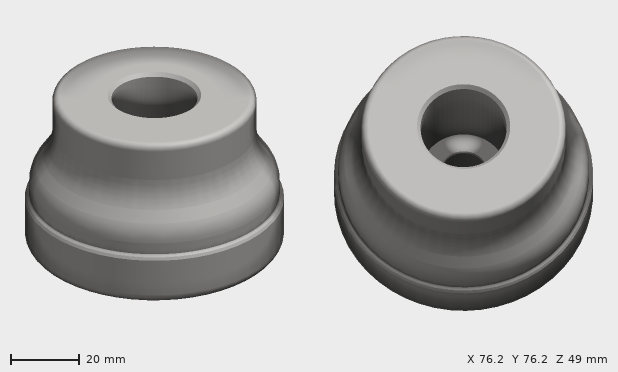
import cadquery as cq
import math

total_height = 49.0
seam_height = 16.15

base_radius = 38.1
base_bottom_fillet = 3.0
base_wall_top = 14.6
base_bevel_top = 15.5
base_bevel_radius = 37.65
base_crown_radius = 37.4
base_crown_height = 15.7
bolt_hole_radius = 6.8
bolt_hole_chamfer = 0.4

shoulder_radius = 36.9
shoulder_top = 19.7
neck_radius = 30.0
neck_bottom = 37.4
neck_top_fillet = 2.0
concave_radius = 15.0
convex_radius = 10.0
slope_angle = math.radians(35)
bore_radius = 12.65
bore_chamfer = 1.1


def arc_point(center, radius, angle):
    """Point on a circle in the radius-height plane."""
    return (center[0] + radius * math.cos(angle), center[1] + radius * math.sin(angle))


def revolve_about_z(profile):
    return profile.close().revolve(360, (0, 0, 0), (0, 1, 0))


def make_base():
    profile = (
        cq.Workplane("XZ")
        .moveTo(0, 0)
        .lineTo(base_radius, 0)
        .lineTo(base_radius, base_wall_top)
        .lineTo(base_bevel_radius, base_bevel_top)
        .lineTo(base_crown_radius, base_crown_height)
        .lineTo(shoulder_radius, seam_height)
        .lineTo(0, seam_height)
    )
    base = revolve_about_z(profile).faces("<Z").edges().fillet(base_bottom_fillet)
    base = base.faces(">Z").workplane().hole(2 * bolt_hole_radius)
    hole_rim = cq.selectors.RadiusNthSelector(0)
    return base.faces(">Z").edges(hole_rim).chamfer(bolt_hole_chamfer)


def make_cap():
    convex_center = (shoulder_radius - convex_radius, shoulder_top)
    concave_center = (neck_radius + concave_radius, neck_bottom)
    profile = (
        cq.Workplane("XZ")
        .moveTo(0, seam_height)
        .lineTo(shoulder_radius, seam_height)
        .lineTo(shoulder_radius, shoulder_top)
        .threePointArc(
            arc_point(convex_center, convex_radius, slope_angle / 2),
            arc_point(convex_center, convex_radius, slope_angle),
        )
        .lineTo(*arc_point(concave_center, concave_radius, math.pi + slope_angle))
        .threePointArc(
            arc_point(concave_center, concave_radius, math.pi + slope_angle / 2),
            (neck_radius, neck_bottom),
        )
        .lineTo(neck_radius, total_height)
        .lineTo(0, total_height)
    )
    cap = revolve_about_z(profile).faces(">Z").edges().fillet(neck_top_fillet)
    cap = cap.faces(">Z").workplane().hole(2 * bore_radius)
    bore_rim = cq.selectors.RadiusNthSelector(0)
    return cap.faces(">Z").edges(bore_rim).chamfer(bore_chamfer)


base = make_base()
cap = make_cap()

result = cq.Compound.makeCompound([base.val(), cap.val()])